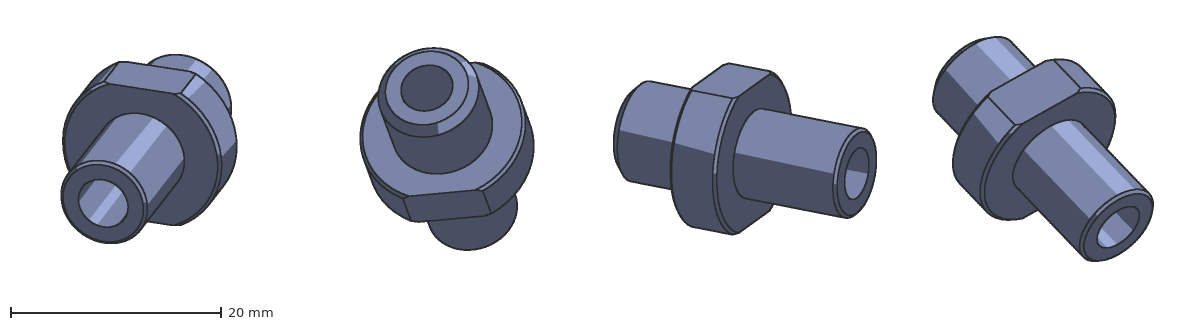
import cadquery as cq

flange_diameter = 16.0
flange_thickness = 5.0
flange_chamfer = 0.3
across_flats = 14.0

front_diameter = 8.7
front_length = 11.0
front_chamfer = 0.3

back_diameter = 9.73
back_length = 8.0
back_chamfer = 0.85

bore_diameter = 5.0

front_end = -front_length
flange_front = 0.0
flange_back = flange_front + flange_thickness
back_end = flange_back + back_length
total_length = back_end - front_end


def cylinder_along_y(diameter, start, length):
    """Cylinder on the Y axis, running toward +Y from the start station."""
    axis_start = cq.Vector(0, start, 0)
    axis_direction = cq.Vector(0, 1, 0)
    return cq.Workplane(cq.Solid.makeCylinder(diameter / 2, length, axis_start, axis_direction))


def make_flange():
    """Disc with both rims chamfered, then cut to two flats facing +Z and -Z."""
    disc = cylinder_along_y(flange_diameter, flange_front, flange_thickness)
    disc = disc.faces("<Y or >Y").chamfer(flange_chamfer)
    middle = (flange_front + flange_back) / 2
    between_flats = cq.Workplane().box(flange_diameter, flange_thickness, across_flats)
    return disc.intersect(between_flats.translate((0, middle, 0)))


def make_front_stub():
    stub = cylinder_along_y(front_diameter, front_end, front_length)
    return stub.faces("<Y").chamfer(front_chamfer)


def make_back_stub():
    stub = cylinder_along_y(back_diameter, flange_back, back_length)
    return stub.faces(">Y").chamfer(back_chamfer)


body = make_flange().union(make_front_stub()).union(make_back_stub())
result = body.cut(cylinder_along_y(bore_diameter, front_end, total_length))